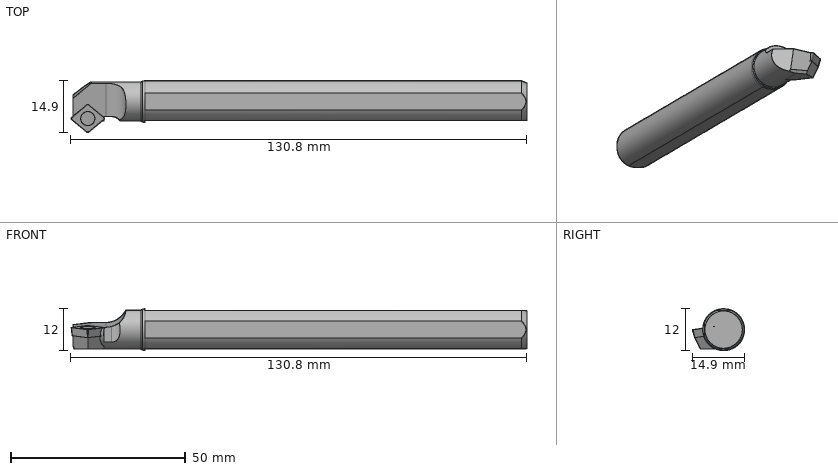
import cadquery as cq
import math

total_length = 130.8
shank_radius = 6.0
flat_distance = 5.5
neck_radius = 5.6
neck_end = 20.0
collar_start = 20.4
collar_radius = 5.9
flats_start = 21.2
end_chamfer_length = 1.6
end_chamfer_depth = 0.7

rake_angle = 8.4
rake_height = 1.3
head_front = 0.5
front_chamfer_length = 0.4
front_chamfer_height = 0.9
scallop_start = 10.0
scallop_radius = 6.0

insert_circle = 6.4
insert_thickness = 2.4
insert_clearance = 7.0
insert_nose_radius = 0.4
insert_half_angle = 40.0
screw_diameter = 4.0
insert_tip_y = -8.9

seat_clearance = 14.0
corner_break_y = 0.9
relief_y = -4.3
relief_start = 9.4
relief_straight_end = 11.6
relief_radius = 2.9
oversize = 26.2

half_angle = math.radians(insert_half_angle)
tilt = math.radians(rake_angle)
half_long = insert_circle / 2 / math.sin(half_angle)
half_short = insert_circle / 2 / math.cos(half_angle)
nose_trim = insert_nose_radius * (1 / math.sin(half_angle) - 1)
tip_trim = insert_nose_radius * (1 / math.cos(half_angle) - 1)
insert_x = half_long - nose_trim
insert_v = insert_tip_y / math.cos(tilt) + half_short - tip_trim
rake = cq.Plane(
    origin=(0, 0, rake_height), xDir=(1, 0, 0), normal=(0, -math.sin(tilt), math.cos(tilt))
)
down = cq.Plane(origin=rake.origin, xDir=(1, 0, 0), normal=-rake.zDir)


def block(x_range, y_range, z_range):
    """Box between the given limits."""
    lengths = [high - low for low, high in (x_range, y_range, z_range)]
    corner = (x_range[0], y_range[0], z_range[0])
    return cq.Workplane("XY").box(*lengths, centered=False).translate(corner)


def make_insert_blank():
    """Insert without its screw hole; it narrows downward from the rake plane."""
    outline = (
        cq.Sketch()
        .polygon([
            (half_long, 0), (0, half_short), (-half_long, 0), (0, -half_short), (half_long, 0),
        ])
        .vertices()
        .fillet(insert_nose_radius)
    )
    return (
        cq.Workplane(down)
        .center(insert_x, -insert_v)
        .placeSketch(outline)
        .extrude(insert_thickness, taper=insert_clearance)
    )


def make_screw():
    """Screw head that fills the hole of the insert, flush with its top."""
    return (
        cq.Workplane(down)
        .center(insert_x, -insert_v)
        .circle(screw_diameter / 2)
        .extrude(insert_thickness)
    )


def make_wedge(depth, inset, taper, height):
    """Wedge under the insert's two outer edges, narrowing downward from the given depth."""
    tip = half_short - inset / math.cos(half_angle)
    reach = oversize * math.tan(half_angle)
    return (
        cq.Workplane(down)
        .workplane(offset=depth)
        .center(insert_x, -insert_v)
        .polyline([(0, tip), (oversize, tip - reach), (-oversize, tip - reach)])
        .close()
        .extrude(height, taper=taper)
    )


def make_bar():
    """Neck, collar and shank, with three flats along the shank."""
    bar = (
        cq.Workplane("XZ")
        .polyline([
            (head_front, 0),
            (head_front, neck_radius),
            (neck_end, neck_radius),
            (collar_start, collar_radius),
            (flats_start, shank_radius),
            (total_length - end_chamfer_length, shank_radius),
            (total_length, shank_radius - end_chamfer_depth),
            (total_length, 0),
        ])
        .close()
        .revolve(360, (0, 0, 0), (1, 0, 0))
    )
    flat_cut = block(
        (flats_start, total_length), (-shank_radius, shank_radius), (flat_distance, oversize)
    )
    for angle in (0, 90, 180):
        bar = bar.cut(flat_cut.rotate((0, 0, 0), (1, 0, 0), angle))
    return bar


def make_seat_wedge():
    """Support below the insert: insert clearance first, then the larger seat clearance."""
    inset = insert_thickness * math.tan(math.radians(insert_clearance))
    upper = make_wedge(0, inset=0, taper=insert_clearance, height=insert_thickness)
    lower = make_wedge(insert_thickness, inset, seat_clearance, shank_radius + rake_height)
    return upper.union(lower)


def make_rake_cut():
    """Material above the rake plane, ending in a round scallop up to the neck."""
    side = cq.Plane(origin=rake.origin, xDir=(1, 0, 0), normal=-rake.yDir)
    return (
        cq.Workplane(side)
        .moveTo(-oversize, 0)
        .lineTo(scallop_start, 0)
        .radiusArc((scallop_start + scallop_radius, scallop_radius), -scallop_radius)
        .lineTo(scallop_start + scallop_radius, oversize)
        .lineTo(-oversize, oversize)
        .close()
        .extrude(oversize, both=True)
    )


def make_corner_cut():
    """Slanted corner of the head, parallel to an edge of the insert."""
    rise = oversize * math.tan(half_angle)
    start_v = corner_break_y / math.cos(tilt)
    return (
        cq.Workplane(rake)
        .polyline([
            (head_front - oversize, start_v - rise),
            (head_front + oversize, start_v + rise),
            (head_front - oversize, start_v + rise),
        ])
        .close()
        .extrude(oversize, both=True)
    )


def make_front_chamfer():
    """Chamfer along the lower edge of the front face."""
    return (
        cq.Workplane("XZ")
        .polyline([
            (head_front, -neck_radius),
            (head_front + front_chamfer_length, -neck_radius),
            (head_front, -neck_radius + front_chamfer_height),
        ])
        .close()
        .extrude(oversize, both=True)
    )


def make_side_relief():
    """Flat behind the insert that runs out in a round."""
    return (
        cq.Workplane("XY")
        .moveTo(relief_start, relief_y)
        .lineTo(relief_straight_end, relief_y)
        .radiusArc(
            (relief_straight_end + relief_radius, relief_y - relief_radius), relief_radius
        )
        .lineTo(relief_start, relief_y - relief_radius)
        .close()
        .extrude(oversize, both=True)
    )


def make_holder():
    wedge = make_seat_wedge()
    seat_space = block(
        (head_front, relief_start), (insert_tip_y, 0), (-neck_radius, neck_radius)
    )
    front_space = block((0, insert_x), (-oversize, 0), (-oversize, oversize))
    holder = make_bar().cut(make_rake_cut())
    holder = holder.cut(front_space.cut(wedge)).union(wedge.intersect(seat_space))
    holder = holder.cut(make_corner_cut()).cut(make_side_relief()).cut(make_front_chamfer())
    return holder.cut(make_insert_blank()).union(make_screw())


def make_insert():
    return make_insert_blank().cut(make_screw())


holder = make_holder()
insert = make_insert()
result = cq.Compound.makeCompound([holder.val(), insert.val()])